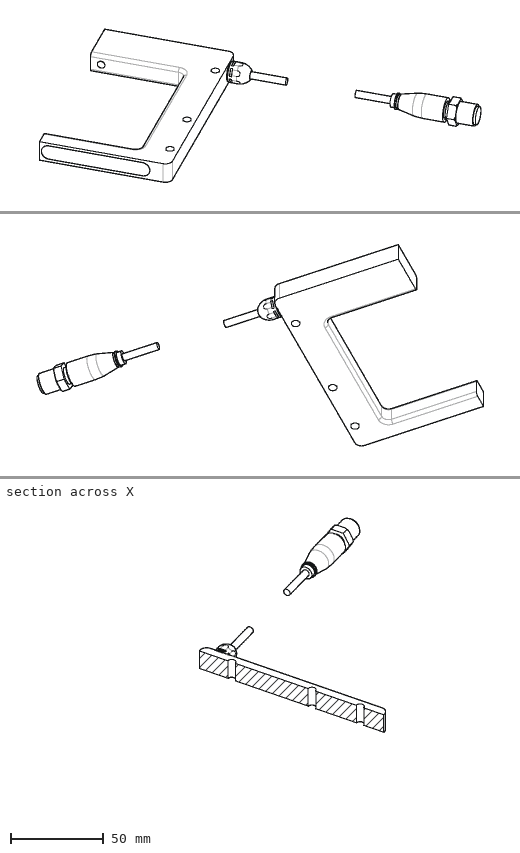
import cadquery as cq
import math

HEX_SIDES = 6

fork_length = 74.0
fork_width = 115.0
thickness = 12.0
wide_arm = 25.0
narrow_arm = 9.9
gap_depth = 53.8
corner_radius = 4.0
gap_edge_fillet = 2.0
rim_margin = 0.2

mount_hole_diameter = 4.5
mount_hole_inset = 5.0
mount_hole_positions = (14.8, 44.8, 94.8)

mark_depth = 0.2
slot_start = 1.0
slot_end = 62.5
slot_height = 8.5
lens_diameter = 4.3
lens_inset = 6.0

axis_inset = 10.0
axis_y = fork_width - axis_inset
cable_diameter = 4.0

gland_neck_end = 74.6
gland_notch_start = 75.7
gland_ring_end = 76.8
gland_dome_start = 79.5
gland_end = 86.0
gland_cable_end = 106.2

gland_neck_diameter = 11.4
gland_diameter = 11.8
ring_flats = 11.0
cap_flats = 11.4
gland_mouth_diameter = 5.1

plug_cable_start = 145.5
collar_start = 165.8
bead_start = 168.4
bead_end = 169.2
cone_start = 170.3
cone_end = 179.3
grip_start = 184.5
grip_end = 196.5
shoulder_end = 197.3
hex_start = 199.0
hex_end = 203.8
thread_end = 213.2
plug_end = 214.5

collar_diameter = 7.5
bead_diameter = 9.0
cone_small_diameter = 8.5
cone_large_diameter = 12.7
grip_diameter = 13.5
shoulder_diameter = 10.0
neck_diameter = 9.5
hex_flats = 13.5
hex_chamfer = 0.6
thread_diameter = 12.0
tip_diameter = 10.0


def axis_plane(x):
    """Plane facing +X on the cable axis; its local X is Y and its local Y is Z."""
    return cq.Workplane(cq.Plane(origin=(x, axis_y, 0), xDir=(0, 1, 0), normal=(1, 0, 0)))


def cylinder(start, end, diameter):
    return axis_plane(start).circle(diameter / 2).extrude(end - start)


def across_corners(across_flats):
    return across_flats / math.cos(math.pi / HEX_SIDES)


def hex_prism(start, end, across_flats):
    """Hexagonal bar along the cable axis with its corners on +Y and -Y."""
    return axis_plane(start).polygon(HEX_SIDES, across_corners(across_flats)).extrude(end - start)


def revolve_on_axis(profile):
    """Turn a profile, drawn as (X, radius) from Y = 0, around the cable axis."""
    return profile.close().revolve(360, (0, 0, 0), (1, 0, 0)).translate((0, axis_y, 0))


def fork_block():
    gap_width = fork_width - wide_arm - narrow_arm
    block = (
        cq.Workplane("XY")
        .box(fork_length, fork_width, thickness, centered=(False, False, True))
        .edges("|Z and >X")
        .fillet(corner_radius)
    )
    gap = (
        cq.Workplane("XY")
        .box(gap_depth, gap_width, thickness, centered=(False, False, True))
        .edges("|Z and >X")
        .fillet(corner_radius)
        .translate((0, narrow_arm, 0))
    )
    inner_rim = cq.selectors.BoxSelector(
        (0, narrow_arm - rim_margin, -thickness),
        (gap_depth + rim_margin, narrow_arm + gap_width + rim_margin, thickness),
    )
    return block.cut(gap).edges(inner_rim).edges("#Z").fillet(gap_edge_fillet)


def mount_holes():
    points = [(fork_length - mount_hole_inset, y) for y in mount_hole_positions]
    return (
        cq.Workplane("XY", origin=(0, 0, -thickness / 2))
        .pushPoints(points)
        .circle(mount_hole_diameter / 2)
        .extrude(thickness)
    )


def side_slot():
    """Shallow round-ended recess in the -Y side of the narrow arm."""
    return (
        cq.Workplane("XZ", origin=((slot_start + slot_end) / 2, 0, 0))
        .slot2D(slot_end - slot_start, slot_height)
        .extrude(-mark_depth)
    )


def lens_recess():
    """Shallow round recess in the gap wall of the wide arm."""
    return (
        cq.Workplane("XZ", origin=(lens_inset, fork_width - wide_arm, 0))
        .circle(lens_diameter / 2)
        .extrude(-mark_depth)
    )


def gland_ring():
    """Round ring with six flats on its front half."""
    ring = cylinder(gland_neck_end, gland_notch_start, gland_diameter)
    flatted = cylinder(gland_notch_start, gland_ring_end, gland_diameter).intersect(
        hex_prism(gland_notch_start, gland_ring_end, ring_flats)
    )
    return ring.union(flatted)


def gland_cap():
    """Domed cap with six flats that run out into the dome."""
    dome = revolve_on_axis(
        cq.Workplane("XY")
        .moveTo(gland_ring_end, 0)
        .lineTo(gland_ring_end, gland_diameter / 2)
        .lineTo(gland_dome_start, gland_diameter / 2)
        .tangentArcPoint((gland_end, gland_mouth_diameter / 2), relative=False)
        .lineTo(gland_end, 0)
    )
    return dome.intersect(hex_prism(gland_ring_end, gland_end, cap_flats))


def gland():
    neck = cylinder(fork_length, gland_neck_end, gland_neck_diameter)
    return neck.union(gland_ring()).union(gland_cap())


def make_sensor():
    fork = fork_block().cut(mount_holes()).cut(side_slot()).cut(lens_recess())
    cable = cylinder(gland_end, gland_cable_end, cable_diameter)
    return fork.union(gland()).union(cable)


def plug_shell():
    """Turned part of the plug, from the +X end: neck, grip, cone, bead, collar."""
    return revolve_on_axis(
        cq.Workplane("XY")
        .moveTo(hex_start, 0)
        .lineTo(hex_start, neck_diameter / 2)
        .lineTo(shoulder_end, neck_diameter / 2)
        .lineTo(shoulder_end, shoulder_diameter / 2)
        .lineTo(grip_end, shoulder_diameter / 2)
        .lineTo(grip_end, grip_diameter / 2)
        .lineTo(grip_start, grip_diameter / 2)
        .tangentArcPoint((cone_end, cone_large_diameter / 2), relative=False)
        .lineTo(cone_start, cone_small_diameter / 2)
        .lineTo(cone_start, collar_diameter / 2)
        .lineTo(bead_end, collar_diameter / 2)
        .lineTo(bead_end, bead_diameter / 2)
        .lineTo(bead_start, bead_diameter / 2)
        .lineTo(bead_start, collar_diameter / 2)
        .lineTo(collar_start, collar_diameter / 2)
        .lineTo(collar_start, 0)
    )


def plug_hex():
    """Hexagonal nut with its corners bevelled on the +X side."""
    bevel = cylinder(hex_start, hex_end, across_corners(hex_flats)).faces(">X").chamfer(hex_chamfer)
    return hex_prism(hex_start, hex_end, hex_flats).intersect(bevel)


def make_plug():
    return (
        plug_shell()
        .union(cylinder(plug_cable_start, collar_start, cable_diameter))
        .union(plug_hex())
        .union(cylinder(hex_end, thread_end, thread_diameter))
        .union(cylinder(thread_end, plug_end, tip_diameter))
    )


sensor = make_sensor()
plug = make_plug()

result = cq.Compound.makeCompound([sensor.val(), plug.val()])